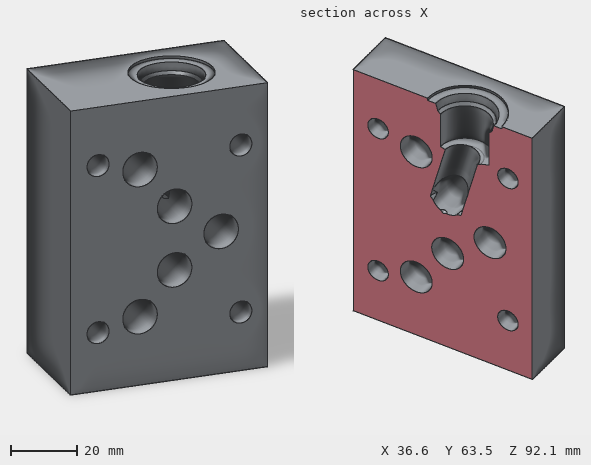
import cadquery as cq
import math

width = 36.6
depth = 63.5
height = 92.1

passage_diameter = 11.1
bolt_diameter = 7.1
inner_passage_y, inner_passage_z = 1.75, 10.3
outer_passage_y, outer_passage_z = -9.4, 23.85
centre_passage_y = 16.8
bolt_front_y, bolt_back_y = -22.9, 23.1
bolt_z = 27.1

port_y = 7.8
spotface_diameter = 26.2
spotface_depth = 0.8
seat_diameter = 20.6
seat_cone_diameter = 19.1
seat_depth = 3.3
ledge_drop = 0.9
bore_diameter = 17.1
bore_depth = 16.6
floor_diameter = 11.6
floor_half_angle = 75.0
point_half_angle = 59.0

drill_diameter = 11.1
drill_tilt = 15.0
drill_overrun = 2.8


def through_holes(diameter, places):
    """Cylinders along X at the given (y, z) places."""
    return (
        cq.Workplane("YZ", origin=(-width / 2, 0, 0))
        .pushPoints(places)
        .circle(diameter / 2)
        .extrude(width)
    )


def port_cavity():
    """Stepped port, revolved about its vertical axis."""
    floor_drop = (bore_diameter - floor_diameter) / 2 / math.tan(math.radians(floor_half_angle))
    point_length = floor_diameter / 2 / math.tan(math.radians(point_half_angle))
    top = height / 2
    floor_z = top - bore_depth - floor_drop
    return (
        cq.Workplane("XZ", origin=(0, port_y, 0))
        .moveTo(0, top)
        .lineTo(spotface_diameter / 2, top)
        .lineTo(spotface_diameter / 2, top - spotface_depth)
        .lineTo(seat_diameter / 2, top - spotface_depth)
        .lineTo(seat_cone_diameter / 2, top - seat_depth)
        .lineTo(bore_diameter / 2, top - seat_depth - ledge_drop)
        .lineTo(bore_diameter / 2, top - bore_depth)
        .lineTo(floor_diameter / 2, floor_z)
        .lineTo(0, floor_z - point_length)
        .close()
        .revolve(360, (0, 0), (0, 1))
    )


def inclined_drilling():
    """Pointed drill hole leaning towards +Y, from just past the inner passage axis up into the port."""
    tilt = math.radians(drill_tilt)
    radius = drill_diameter / 2
    point_length = radius / math.tan(math.radians(point_half_angle))
    reach = (height / 2 - bore_depth - inner_passage_z) / math.cos(tilt)
    profile = (
        cq.Workplane("XZ")
        .moveTo(0, -drill_overrun - point_length)
        .lineTo(radius, -drill_overrun)
        .lineTo(radius, reach)
        .lineTo(0, reach)
        .close()
    )
    upright = profile.revolve(360, (0, 0), (0, 1))
    tilted = upright.rotate((0, 0, 0), (1, 0, 0), -drill_tilt)
    return tilted.translate((0, inner_passage_y, inner_passage_z))


passage_places = [(centre_passage_y, 0)]
bolt_places = []
for side in (-1, 1):
    passage_places.append((inner_passage_y, side * inner_passage_z))
    passage_places.append((outer_passage_y, side * outer_passage_z))
    bolt_places.append((bolt_front_y, side * bolt_z))
    bolt_places.append((bolt_back_y, side * bolt_z))

result = (
    cq.Workplane("XY")
    .box(width, depth, height)
    .cut(through_holes(passage_diameter, passage_places))
    .cut(through_holes(bolt_diameter, bolt_places))
    .cut(port_cavity())
    .cut(inclined_drilling())
)